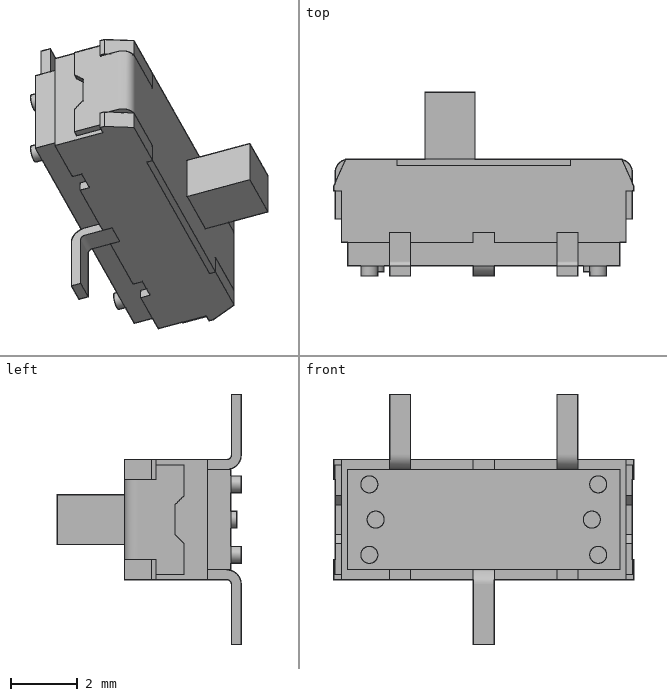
import cadquery as cq
import math


BODY_LENGTH = 8.52
BODY_HEIGHT = 3.6
BODY_BACK_Y = 3.19
BASE_LENGTH = 8.15
BASE_HEIGHT = 3.0
BASE_DEPTH = 0.7
NOTCH_TOP_Y = 1.0

EAR_SPAN = 8.99
EAR_HEIGHT = 0.6
EAR_FRONT_Y = 2.24
EAR_SLANT_Y = 2.38
EAR_SLANT_X = 4.13

PEG_DIAMETER = 0.51
LONG_PEG_LENGTH = 0.31
SHORT_PEG_LENGTH = 0.18
LONG_PEG_X = 3.425
LONG_PEG_Z = 1.055
SHORT_PEG_X = 3.235

SHEET = 0.19
COVER_BEND_RADIUS = 0.4
COVER_TAB_LENGTH = 5.18
FLAP_HEIGHT = 3.28
FLAP_END_Y = 1.4
FLAP_NOTCH_DEPTH = 0.28
FLAP_NOTCH_HEIGHT = 1.44

KNOB_SIZE = 1.5
KNOB_X = -1.01
KNOB_REACH = 2.01

TERMINAL_WIDTH = 0.63
TERMINAL_PITCH = 2.5
TERMINAL_THICKNESS = (BODY_HEIGHT - BASE_HEIGHT) / 2
TERMINAL_FRONT_Y = -LONG_PEG_LENGTH
TERMINAL_TIP_Z = 3.745
TERMINAL_INNER_RADIUS = 0.135

COVER_INNER_Y = BODY_BACK_Y - SHEET
COVER_SPAN = BODY_LENGTH + 2 * SHEET
COVER_ARM_HEIGHT = BODY_HEIGHT - 2 * EAR_HEIGHT
TERMINALS = [(-TERMINAL_PITCH, 1), (0, -1), (TERMINAL_PITCH, 1)]


def block(length, y_front, y_back, height, x=0, z=0):
    """Box centred on x and z, reaching from y_front to y_back."""
    depth = y_back - y_front
    return cq.Workplane("XY").box(length, depth, height).translate((x, y_front + depth / 2, z))


def make_cover():
    """Plate on the back face with a flap bent forward over each end."""
    inner_radius = COVER_BEND_RADIUS - SHEET
    outer = block(COVER_SPAN, FLAP_END_Y, BODY_BACK_Y, FLAP_HEIGHT)
    outer = outer.edges("|Z and >Y").fillet(COVER_BEND_RADIUS)
    inner = block(BODY_LENGTH, FLAP_END_Y, COVER_INNER_Y, FLAP_HEIGHT)
    inner = inner.edges("|Z and >Y").fillet(inner_radius)
    strip = outer.cut(inner)

    arms = block(COVER_SPAN, EAR_FRONT_Y, BODY_BACK_Y, COVER_ARM_HEIGHT)
    flaps = block(COVER_SPAN, FLAP_END_Y, EAR_FRONT_Y, FLAP_HEIGHT)
    cover = strip.intersect(arms.union(flaps))

    cover = cover.union(block(COVER_TAB_LENGTH, COVER_INNER_Y, BODY_BACK_Y, BODY_HEIGHT))

    mouth = FLAP_NOTCH_HEIGHT / 2
    floor = mouth - FLAP_NOTCH_DEPTH
    floor_y = FLAP_END_Y + FLAP_NOTCH_DEPTH
    notch = (
        cq.Workplane("YZ")
        .polyline([(FLAP_END_Y, -mouth), (floor_y, -floor), (floor_y, floor), (FLAP_END_Y, mouth)])
        .close()
        .extrude(COVER_SPAN / 2, both=True)
    )
    window = block(KNOB_SIZE, COVER_INNER_Y, BODY_BACK_Y, KNOB_SIZE, x=KNOB_X)
    return cover.cut(notch).cut(window)


def make_ears():
    """Slanted ears at the four corners, as full-length bars along the top and bottom."""
    half = EAR_SPAN / 2
    outline = [
        (-half, EAR_FRONT_Y),
        (half, EAR_FRONT_Y),
        (half, EAR_SLANT_Y),
        (EAR_SLANT_X, BODY_BACK_Y),
        (-EAR_SLANT_X, BODY_BACK_Y),
        (-half, EAR_SLANT_Y),
    ]
    bar = cq.Workplane("XY").polyline(outline).close().extrude(EAR_HEIGHT)
    return bar.translate((0, 0, BODY_HEIGHT / 2 - EAR_HEIGHT)), bar.translate((0, 0, -BODY_HEIGHT / 2))


def make_peg(x, z, length):
    return cq.Workplane("XZ", origin=(x, 0, z)).circle(PEG_DIAMETER / 2).extrude(length)


def make_housing():
    """Stepped block with ears, terminal notches and pegs, recessed for the cover."""
    top_ears, bottom_ears = make_ears()
    housing = block(BODY_LENGTH, BASE_DEPTH, EAR_FRONT_Y, BODY_HEIGHT)
    housing = housing.union(top_ears).union(bottom_ears)

    core = block(BODY_LENGTH, BASE_DEPTH, COVER_INNER_Y, COVER_ARM_HEIGHT)
    core = core.edges("|Z and >Y").fillet(COVER_BEND_RADIUS - SHEET)
    housing = housing.union(core)
    housing = housing.cut(block(COVER_TAB_LENGTH, COVER_INNER_Y, BODY_BACK_Y, BODY_HEIGHT))

    for x, _ in TERMINALS:
        housing = housing.cut(block(TERMINAL_WIDTH, BASE_DEPTH, NOTCH_TOP_Y, BODY_HEIGHT, x=x))
    housing = housing.union(block(BASE_LENGTH, 0, NOTCH_TOP_Y, BASE_HEIGHT))

    for side in (-1, 1):
        housing = housing.union(make_peg(side * SHORT_PEG_X, 0, SHORT_PEG_LENGTH))
        for level in (-1, 1):
            housing = housing.union(make_peg(side * LONG_PEG_X, level * LONG_PEG_Z, LONG_PEG_LENGTH))
    return housing


def make_knob():
    return block(KNOB_SIZE, COVER_INNER_Y, BODY_BACK_Y + KNOB_REACH, KNOB_SIZE, x=KNOB_X)


def make_terminal(x, direction):
    """L-shaped strip bent away from the base, upwards (+1) or downwards (-1)."""
    base_z = BASE_HEIGHT / 2
    outer_z = base_z + TERMINAL_THICKNESS
    back_y = TERMINAL_FRONT_Y + TERMINAL_THICKNESS
    bend_y = back_y + TERMINAL_INNER_RADIUS
    bend_z = outer_z + TERMINAL_INNER_RADIUS
    outer_radius = TERMINAL_INNER_RADIUS + TERMINAL_THICKNESS
    diagonal = math.sqrt(0.5)

    def bend_middle(radius):
        return bend_y - radius * diagonal, bend_z - radius * diagonal

    terminal = (
        cq.Workplane("YZ")
        .moveTo(NOTCH_TOP_Y, base_z)
        .lineTo(bend_y, base_z)
        .threePointArc(bend_middle(outer_radius), (TERMINAL_FRONT_Y, bend_z))
        .lineTo(TERMINAL_FRONT_Y, TERMINAL_TIP_Z)
        .lineTo(back_y, TERMINAL_TIP_Z)
        .lineTo(back_y, bend_z)
        .threePointArc(bend_middle(TERMINAL_INNER_RADIUS), (bend_y, outer_z))
        .lineTo(NOTCH_TOP_Y, outer_z)
        .close()
        .extrude(TERMINAL_WIDTH / 2, both=True)
    )
    if direction < 0:
        terminal = terminal.mirror("XY")
    return terminal.translate((x, 0, 0))


housing = make_housing()
cover = make_cover()
knob = make_knob()
terminals = [make_terminal(x, direction) for x, direction in TERMINALS]

result = cq.Compound.makeCompound(
    [body.solids().val() for body in (housing, cover, knob, *terminals)]
)